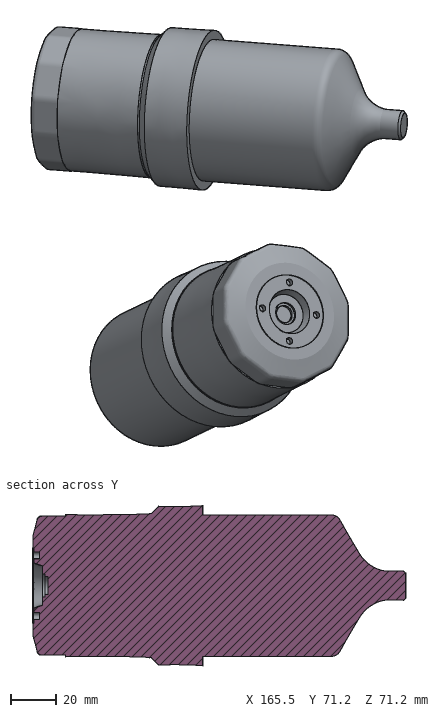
import cadquery as cq
import math

TOTAL_LENGTH = 165.5
SMALL_OVERLAP = 1.7

FACET_COUNT = 12
CAP_ACROSS_FLATS = 61.7
CAP_LENGTH = 14.5
CAP_CORNER_RADIUS = 5.5
CAP_RIM_RADIUS = 2.2
CAP_FACE_DIAMETER = 44.0
CAP_FACE_SLOPE = 15.0

SLEEVE_START_DIAMETER = 63.2
SLEEVE_END_DIAMETER = 63.9
SLEEVE_END = 51.8
LAND_DIAMETER = 64.2
LAND_END = 52.6
COLLAR_START_DIAMETER = 70.7
COLLAR_DIAMETER = 71.2
COLLAR_END = 75.5

BARREL_DIAMETER = 63.0
BARREL_END = 132.4
SHOULDER_RADIUS = 4.5
CONE_ANGLE = 60.0
CONE_END = 144.8
NOZZLE_DIAMETER = 13.0
NOZZLE_START = 156.4
NOZZLE_CHAMFER = 1.0

RECESS_DIAMETER = 33.3
RECESS_DEPTH = 0.5
BORE_MOUTH_DIAMETER = 20.0
BORE_FLOOR_DIAMETER = 17.4
BORE_DEPTH = 3.8
STEP_DIAMETER = 10.0
STEP_DEPTH = 1.2
CENTRE_HOLE_DIAMETER = 7.8
CENTRE_HOLE_DEPTH = 1.3
PIN_HOLE_DIAMETER = 3.0
PIN_HOLE_DEPTH = 2.5
PIN_HOLE_COUNT = 4
PIN_CIRCLE_DIAMETER = 26.8


def revolve_about_x(profile):
    """Turn a closed XY profile once around the X axis."""
    return profile.close().revolve(360, (0, 0, 0), (1, 0, 0))


def disc(diameter, start, depth):
    """Cylinder along X from the given start."""
    return cq.Workplane("YZ", origin=(start, 0, 0)).circle(diameter / 2).extrude(depth)


def make_cap():
    """Twelve-sided cap with rounded corners, a shallow conical face and a rounded rim."""
    half_facet = math.pi / FACET_COUNT
    corner_diameter = CAP_ACROSS_FLATS / math.cos(half_facet)
    prism = (
        cq.Workplane("YZ")
        .transformed(rotate=(0, 0, math.degrees(half_facet)))
        .polygon(FACET_COUNT, corner_diameter)
        .extrude(CAP_LENGTH)
        .edges("|X")
        .fillet(CAP_CORNER_RADIUS)
    )
    face_radius = CAP_FACE_DIAMETER / 2
    outer_radius = corner_diameter / 2 + SMALL_OVERLAP
    cone_depth = (outer_radius - face_radius) * math.tan(math.radians(CAP_FACE_SLOPE))
    envelope = revolve_about_x(
        cq.Workplane("XY")
        .lineTo(0, face_radius)
        .lineTo(cone_depth, outer_radius)
        .lineTo(CAP_LENGTH, outer_radius)
        .lineTo(CAP_LENGTH, 0)
    )
    cap = prism.intersect(envelope)
    return cap.faces("%CONE").edges("not %CIRCLE").fillet(CAP_RIM_RADIUS)


def make_body():
    """Sleeve, collar, barrel, end cone and nozzle turned from one profile."""
    cone_angle = math.radians(CONE_ANGLE)
    barrel_radius = BARREL_DIAMETER / 2
    nozzle_radius = NOZZLE_DIAMETER / 2
    collar_start = LAND_END + (COLLAR_START_DIAMETER - LAND_DIAMETER) / 2

    def shoulder_point(angle):
        return (
            BARREL_END + SHOULDER_RADIUS * math.sin(angle),
            barrel_radius - SHOULDER_RADIUS * (1 - math.cos(angle)),
        )

    cone_start, cone_start_radius = shoulder_point(cone_angle)
    cone_end_radius = cone_start_radius - (CONE_END - cone_start) * math.tan(cone_angle)

    return revolve_about_x(
        cq.Workplane("XY")
        .moveTo(CAP_LENGTH, 0)
        .lineTo(CAP_LENGTH, SLEEVE_START_DIAMETER / 2)
        .lineTo(SLEEVE_END, SLEEVE_END_DIAMETER / 2)
        .lineTo(SLEEVE_END, LAND_DIAMETER / 2)
        .lineTo(LAND_END, LAND_DIAMETER / 2)
        .lineTo(collar_start, COLLAR_START_DIAMETER / 2)
        .lineTo(COLLAR_END, COLLAR_DIAMETER / 2)
        .lineTo(COLLAR_END, barrel_radius)
        .lineTo(BARREL_END, barrel_radius)
        .threePointArc(shoulder_point(cone_angle / 2), (cone_start, cone_start_radius))
        .lineTo(CONE_END, cone_end_radius)
        .tangentArcPoint((NOZZLE_START, nozzle_radius), relative=False)
        .lineTo(TOTAL_LENGTH - NOZZLE_CHAMFER, nozzle_radius)
        .lineTo(TOTAL_LENGTH, nozzle_radius - NOZZLE_CHAMFER)
        .lineTo(TOTAL_LENGTH, 0)
    )


def make_face_recesses():
    """Shallow recess, tapered bore with stepped centre hole, and the ring of pin holes."""
    bore_floor = RECESS_DEPTH + BORE_DEPTH
    step_floor = bore_floor + STEP_DEPTH
    bore = revolve_about_x(
        cq.Workplane("XY")
        .moveTo(RECESS_DEPTH, 0)
        .lineTo(RECESS_DEPTH, BORE_MOUTH_DIAMETER / 2)
        .lineTo(bore_floor, BORE_FLOOR_DIAMETER / 2)
        .lineTo(bore_floor, 0)
    )
    pin_holes = (
        cq.Workplane("YZ", origin=(RECESS_DEPTH, 0, 0))
        .polarArray(PIN_CIRCLE_DIAMETER / 2, 0, 360, PIN_HOLE_COUNT)
        .circle(PIN_HOLE_DIAMETER / 2)
        .extrude(PIN_HOLE_DEPTH)
    )
    return (
        disc(RECESS_DIAMETER, 0, RECESS_DEPTH)
        .union(bore)
        .union(disc(STEP_DIAMETER, bore_floor, STEP_DEPTH))
        .union(disc(CENTRE_HOLE_DIAMETER, step_floor, CENTRE_HOLE_DEPTH))
        .union(pin_holes)
    )


result = make_cap().union(make_body()).cut(make_face_recesses())